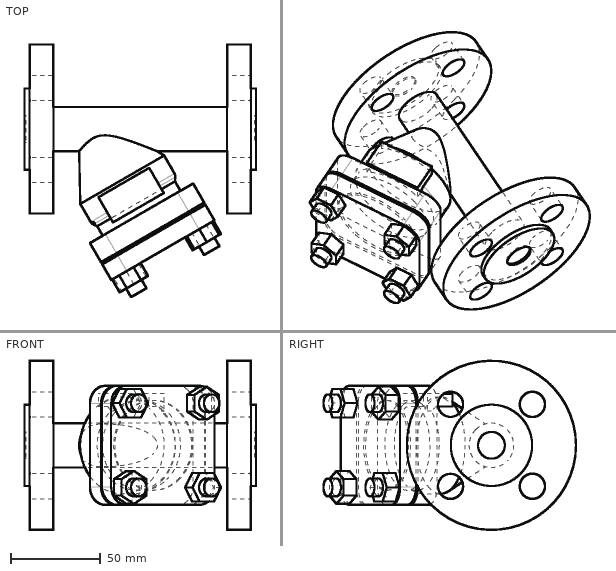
import cadquery as cq
import math

FACE_TO_FACE = 130.0
PIPE_DIAMETER = 25.0

FLANGE_DIAMETER = 95.0
FLANGE_THICKNESS = 13.3
RAISED_FACE_DIAMETER = 45.7
RAISED_FACE_HEIGHT = 2.8
BOLT_CIRCLE_DIAMETER = 65.0
FLANGE_HOLE_DIAMETER = 14.0
FLANGE_HOLE_COUNT = 4
FIRST_HOLE_ANGLE = 45.0
BORE_DIAMETER = 15.0
BORE_DEPTH = 1.0

BRANCH_X = -26.5
BRANCH_ANGLE = 60.0

CONE_START_RADIUS = 9.2
CONE_LENGTH = 32.8
BARREL_RADIUS = 27.2
BARREL_END = 45.5
BEVEL_LENGTH = 2.8
BEVEL_BLEND_RADIUS = 3.4
NECK_RADIUS = 25.3

PLATE_SIDE = 67.0
PLATE_CORNER_RADIUS = 10.1
BONNET_START = 54.5
BONNET_THICKNESS = 12.5
GASKET_THICKNESS = 1.3
COVER_THICKNESS = 10.2
GASKET_START = BONNET_START + BONNET_THICKNESS
COVER_START = GASKET_START + GASKET_THICKNESS
COVER_END = COVER_START + COVER_THICKNESS

STUD_SPACING = 47.2
STUD_DIAMETER = 10.1
STUD_LENGTH = 13.9
STUD_COUNT = 4
NUT_ACROSS_FLATS = 16.0
NUT_HEIGHT = 8.4

PAD_START = 34.6
PAD_LENGTH = 16.3
PAD_WIDTH = 32.9
PAD_TOP = 29.0

angle = math.radians(BRANCH_ANGLE)
BRANCH_PLANE = cq.Plane(
    origin=(BRANCH_X, 0, 0),
    xDir=(math.sin(angle), math.cos(angle), 0),
    normal=(math.cos(angle), -math.sin(angle), 0),
)


def branch_at(distance):
    """Workplane square to the branch axis at a distance from the pipe axis."""
    return cq.Workplane(BRANCH_PLANE).workplane(offset=distance)


def end_flange():
    """Flange with raised face at the -X end of the pipe."""
    face = cq.Workplane("YZ").workplane(offset=-FACE_TO_FACE / 2)
    back = face.workplane(offset=RAISED_FACE_HEIGHT)
    disc = back.circle(FLANGE_DIAMETER / 2).extrude(FLANGE_THICKNESS)
    holes = (
        back.polarArray(BOLT_CIRCLE_DIAMETER / 2, FIRST_HOLE_ANGLE, 360, FLANGE_HOLE_COUNT)
        .circle(FLANGE_HOLE_DIAMETER / 2)
        .extrude(FLANGE_THICKNESS)
    )
    raised_face = face.circle(RAISED_FACE_DIAMETER / 2).extrude(RAISED_FACE_HEIGHT)
    bore = face.circle(BORE_DIAMETER / 2).extrude(BORE_DEPTH)
    return disc.cut(holes).union(raised_face).cut(bore)


def pipe():
    """Straight pipe between the backs of the two flanges."""
    length = FACE_TO_FACE - 2 * (RAISED_FACE_HEIGHT + FLANGE_THICKNESS)
    return cq.Workplane("YZ").circle(PIPE_DIAMETER / 2).extrude(length / 2, both=True)


def branch_body():
    """Cone, barrel and neck, turned about the branch axis."""
    bevel_angle = math.atan2(BARREL_RADIUS - NECK_RADIUS, BEVEL_LENGTH)
    blend_reach = BEVEL_BLEND_RADIUS * math.tan(bevel_angle / 2)
    blend_end = (
        BARREL_RADIUS - blend_reach * math.sin(bevel_angle),
        BARREL_END + blend_reach * math.cos(bevel_angle),
    )
    turning_plane = cq.Plane(BRANCH_PLANE.origin, BRANCH_PLANE.xDir, -BRANCH_PLANE.yDir)
    profile = (
        cq.Workplane(turning_plane)
        .lineTo(CONE_START_RADIUS, 0)
        .lineTo(BARREL_RADIUS, CONE_LENGTH)
        .lineTo(BARREL_RADIUS, BARREL_END - blend_reach)
        .tangentArcPoint(blend_end, relative=False)
        .lineTo(NECK_RADIUS, BARREL_END + BEVEL_LENGTH)
        .lineTo(NECK_RADIUS, BONNET_START)
        .lineTo(0, BONNET_START)
        .close()
    )
    return profile.revolve(360, (0, 0), (0, 1))


def pad():
    """Flat-topped pad standing on the barrel and overhanging the neck."""
    block = branch_at(PAD_START).center(0, PAD_TOP / 2)
    return block.rect(PAD_WIDTH, PAD_TOP).extrude(PAD_LENGTH)


def plate(start, thickness):
    """Square plate with rounded corners, across the branch axis."""
    block = branch_at(start).rect(PLATE_SIDE, PLATE_SIDE).extrude(thickness)
    direction = cq.selectors.ParallelDirSelector(BRANCH_PLANE.zDir)
    return block.edges(direction).fillet(PLATE_CORNER_RADIUS)


def gasket():
    """Round gasket between bonnet flange and cover."""
    return branch_at(GASKET_START).circle(NECK_RADIUS).extrude(GASKET_THICKNESS)


def stud_and_nut(index):
    """Nut and stud end on one corner of the cover, turned with the corner."""
    corner = (
        branch_at(COVER_END)
        .transformed(rotate=(0, 0, 360 / STUD_COUNT * index))
        .center(STUD_SPACING / 2, STUD_SPACING / 2)
    )
    nut = corner.polygon(6, NUT_ACROSS_FLATS, circumscribed=True).extrude(NUT_HEIGHT)
    stud = corner.circle(STUD_DIAMETER / 2).extrude(STUD_LENGTH)
    return nut.union(stud)


left_flange = end_flange()
right_flange = left_flange.mirror("YZ")

result = pipe().union(left_flange).union(right_flange)
result = result.union(branch_body()).union(pad())
result = result.union(plate(BONNET_START, BONNET_THICKNESS))
result = result.union(gasket())
result = result.union(plate(COVER_START, COVER_THICKNESS))
for index in range(STUD_COUNT):
    result = result.union(stud_and_nut(index))